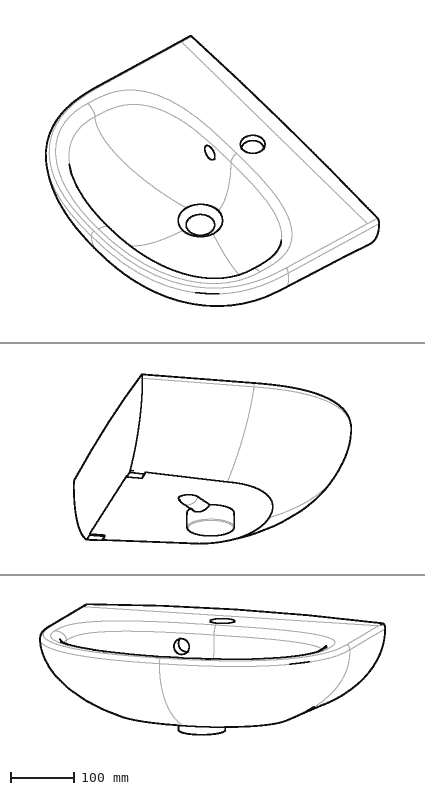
import cadquery as cq
import math


WIDTH = 499.5
DEPTH = 380.0
FRONT_START = 180
FLOOR_FRONT_START = 160
FRONT_NARROWING = 1.2
FRONT_EXPONENT = 2.4
FLOOR_EXPONENT = 2.1
RIM_HEIGHT = 8.0
RIM_INSET = 5
RIM_SECTIONS = 4
BODY_BOTTOM = -131.0
FOOT_BOTTOM = -133.0
BODY_CURVE_HEIGHT = 160.5
FRONT_CURVE_DEPTH = 334.5
BODY_SECTIONS = 6

FOOT_OUTER = 160
FOOT_WIDTH = 25
FOOT_LENGTH = 25

SPLASH_HEIGHT = 7.0
SPLASH_DEPTH = 20
SPLASH_SINK = 2.0

BOWL_Y = -218.0
LIP_HALF_WIDTH = 228.0
LIP_BACK = 124.0
LIP_FRONT = 150
LIP_INSET = 20
LIP_INSET_BACK = 11.5
LIP_INSET_FRONT = 23.0
LIP_DROP = 14.0
LIP_SECTIONS = 5
LIP_BACK_EXPONENT = 2.9
LIP_FRONT_EXPONENT = 2.2
BOWL_SECTIONS = 7

DRAIN_Y = -165.5
DRAIN_DIAMETER = 70
DRAIN_FLOOR_DIAMETER = 45
BOWL_FLOOR = -110
BOWL_FLOOR_DIAMETER = 60
DRAIN_FLOOR = -120
DRAIN_CLEARANCE = 5
SPOUT_DIAMETER = 74.5
SPOUT_BOTTOM = -156.5
SPOUT_ROUND = 1.5

TAP_Y = -62.5
TAP_DIAMETER = 35
TAP_MOUTH_DIAMETER = 39.0
TAP_DEPTH = 10

OVERFLOW_X = -53.0
OVERFLOW_Z = -36.0
OVERFLOW_DIAMETER = 25
OVERFLOW_END_Y = -85
DUCT_X = -57.0
DUCT_Y = -117.5
DUCT_Z = -124.0
DUCT_RADIUS = 17.5

CIRCLE_EXPONENT = 2
CURVE_STEPS = 16


def quarter_oval(half_width, reach, exponent, center_y, z, side):
    """Quarter of a superellipse from x = 0 to +x; side is 1 for the wall half and -1 for the front half."""
    points = []
    for step in range(CURVE_STEPS + 1):
        angle = math.pi / 2 * step / CURVE_STEPS
        across = math.sin(angle)
        along = math.cos(angle)
        radius = (across ** exponent + along ** exponent) ** (-1 / exponent)
        points.append(cq.Vector(half_width * across * radius, center_y + side * reach * along * radius, z))
    return cq.Edge.makeSpline(points, tangents=[cq.Vector(1, 0, 0), cq.Vector(0, -side, 0)])


def body_outline(back_half_width, front_half_width, depth, front_start, exponent, z):
    """D-shaped outline with a straight back on the wall and straight sides that narrow forwards."""
    right_front = quarter_oval(front_half_width, depth - front_start, exponent, -front_start, z, -1)
    left_front = right_front.mirror("YZ")
    right_back = cq.Vector(back_half_width, 0, z)
    left_back = cq.Vector(-back_half_width, 0, z)
    return cq.Wire.assembleEdges([
        right_front,
        cq.Edge.makeLine(right_front.endPoint(), right_back),
        cq.Edge.makeLine(right_back, left_back),
        cq.Edge.makeLine(left_back, left_front.endPoint()),
        left_front,
    ])


def rim_outline(inset, z):
    """Outline of the rim, drawn in by inset from the full size of the basin."""
    half_width = WIDTH / 2 - inset
    return body_outline(half_width, half_width, DEPTH - inset, FRONT_START, FRONT_EXPONENT, z)


def oval(half_width, back, front, center_y, back_exponent, front_exponent, z):
    """Closed oval with different back and front halves."""
    right_back = quarter_oval(half_width, back, back_exponent, center_y, z, 1)
    right_front = quarter_oval(half_width, front, front_exponent, center_y, z, -1)
    return cq.Wire.assembleEdges([
        right_back,
        right_front,
        right_front.mirror("YZ"),
        right_back.mirror("YZ"),
    ])


def blend(start, end, share):
    """Value part of the way from start (share 0) to end (share 1)."""
    return start + (end - start) * share


def make_body():
    """Rounded rim on top of a body whose sides and front curve inwards as ellipses."""
    rim_outlines = []
    for step in range(RIM_SECTIONS + 1):
        angle = math.pi / 2 * step / RIM_SECTIONS
        inset = RIM_INSET * (1 - math.cos(angle))
        z = RIM_HEIGHT * (math.sin(angle) - 1)
        rim_outlines.append(rim_outline(inset, z))
    rim = cq.Workplane(cq.Solid.makeLoft(rim_outlines))

    curve_height = -RIM_HEIGHT - FOOT_BOTTOM
    end_angle = math.asin(curve_height / BODY_CURVE_HEIGHT)
    outlines = []
    for step in range(BODY_SECTIONS + 1):
        angle = end_angle * step / BODY_SECTIONS
        inset = 1 - math.cos(angle)
        z = -RIM_HEIGHT - BODY_CURVE_HEIGHT * math.sin(angle)
        share = step / BODY_SECTIONS
        outlines.append(body_outline(
            WIDTH / 2 * (1 - inset),
            WIDTH / 2 * (1 - FRONT_NARROWING * inset),
            DEPTH - FRONT_CURVE_DEPTH * inset,
            blend(FRONT_START, FLOOR_FRONT_START, share),
            blend(FRONT_EXPONENT, FLOOR_EXPONENT, share),
            z,
        ))
    return rim.union(cq.Workplane(cq.Solid.makeLoft(outlines)))


def trim_underside(body):
    """Raise the underside everywhere except at the two feet."""
    foot_height = BODY_BOTTOM - FOOT_BOTTOM
    trim = cq.Workplane().box(WIDTH, 2 * DEPTH, 2 * foot_height).translate((0, 0, FOOT_BOTTOM))
    for side in (-1, 1):
        foot_x = side * (FOOT_OUTER - FOOT_WIDTH / 2)
        foot = cq.Workplane().box(FOOT_WIDTH, 2 * FOOT_LENGTH, 4 * foot_height)
        trim = trim.cut(foot.translate((foot_x, 0, FOOT_BOTTOM)))
    return body.cut(trim)


def make_splash_edge():
    """Wedge along the wall: an arch at the wall fading to a straight line on the deck."""
    half = WIDTH / 2 - RIM_INSET
    wall_end = (
        cq.Workplane("XZ")
        .moveTo(-half, -SPLASH_SINK)
        .lineTo(half, -SPLASH_SINK)
        .lineTo(half, 0)
        .threePointArc((0, SPLASH_HEIGHT), (-half, 0))
        .close()
    )
    deck_end = (
        cq.Workplane("XZ", origin=(0, -SPLASH_DEPTH, 0))
        .moveTo(-half, -SPLASH_SINK)
        .lineTo(half, -SPLASH_SINK)
        .lineTo(half, 0)
        .lineTo(-half, 0)
        .close()
    )
    return cq.Workplane(cq.Solid.makeLoft([wall_end.wire().val(), deck_end.wire().val()], True))


def make_lip():
    """Space above the rounded lip of the bowl."""
    outlines = []
    for step in range(LIP_SECTIONS + 1):
        angle = math.pi / 2 * step / LIP_SECTIONS
        share = math.sin(angle)
        outlines.append(oval(
            LIP_HALF_WIDTH - LIP_INSET * share,
            LIP_BACK - LIP_INSET_BACK * share,
            LIP_FRONT - LIP_INSET_FRONT * share,
            BOWL_Y,
            LIP_BACK_EXPONENT,
            LIP_FRONT_EXPONENT,
            -LIP_DROP * (1 - math.cos(angle)),
        ))
    return cq.Workplane(cq.Solid.makeLoft(outlines))


def make_bowl():
    """Space inside the bowl, from the lip down to a small round floor around the drain axis."""
    radius = BOWL_FLOOR_DIAMETER / 2
    outlines = []
    for step in range(BOWL_SECTIONS + 1):
        angle = math.pi / 2 * step / BOWL_SECTIONS
        share = 1 - math.cos(angle)
        outlines.append(oval(
            blend(LIP_HALF_WIDTH - LIP_INSET, radius, share),
            blend(LIP_BACK - LIP_INSET_BACK, radius, share),
            blend(LIP_FRONT - LIP_INSET_FRONT, radius, share),
            blend(BOWL_Y, DRAIN_Y, share),
            blend(LIP_BACK_EXPONENT, CIRCLE_EXPONENT, share),
            blend(LIP_FRONT_EXPONENT, CIRCLE_EXPONENT, share),
            blend(-LIP_DROP, BOWL_FLOOR, math.sin(angle)),
        ))
    return cq.Workplane(cq.Solid.makeLoft(outlines))


def make_cone(y, top, bottom, top_diameter, bottom_diameter):
    """Upright tapered plug on the plane of symmetry."""
    return cq.Workplane(cq.Solid.makeCone(
        bottom_diameter / 2, top_diameter / 2, top - bottom, cq.Vector(0, y, bottom), cq.Vector(0, 0, 1)
    ))


def make_drain():
    """Tapered drain mouth, with a short straight start that clears the curved bowl around it."""
    taper = make_cone(DRAIN_Y, BOWL_FLOOR, DRAIN_FLOOR, DRAIN_DIAMETER, DRAIN_FLOOR_DIAMETER)
    start = cq.Workplane("XY", origin=(0, DRAIN_Y, BOWL_FLOOR)).circle(DRAIN_DIAMETER / 2)
    return taper.union(start.extrude(DRAIN_CLEARANCE))


def make_overflow():
    """Round hole going into the back wall of the bowl."""
    return (
        cq.Workplane("XZ", origin=(OVERFLOW_X, OVERFLOW_END_Y, OVERFLOW_Z))
        .circle(OVERFLOW_DIAMETER / 2)
        .extrude(OVERFLOW_END_Y - BOWL_Y)
    )


def make_spout():
    """Drain spout below the body."""
    spout = cq.Workplane("XY", origin=(0, DRAIN_Y, SPOUT_BOTTOM)).circle(SPOUT_DIAMETER / 2)
    spout = spout.extrude(DRAIN_FLOOR - SPOUT_BOTTOM)
    return spout.faces("<Z").edges().fillet(SPOUT_ROUND)


def make_duct():
    """Round-ended duct under the body, running from the overflow to the drain spout."""
    run = cq.Vector(-DUCT_X, DRAIN_Y - DUCT_Y, 0)
    start = cq.Vector(DUCT_X, DUCT_Y, DUCT_Z)
    pipe = cq.Workplane(cq.Solid.makeCylinder(DUCT_RADIUS, run.Length, start, run))
    return pipe.union(cq.Workplane("XY", origin=start.toTuple()).sphere(DUCT_RADIUS))


result = (
    trim_underside(make_body())
    .union(make_splash_edge())
    .union(make_spout())
    .union(make_duct())
    .cut(make_lip())
    .cut(make_bowl())
    .cut(make_drain())
    .cut(make_cone(TAP_Y, 0, -TAP_DEPTH, TAP_MOUTH_DIAMETER, TAP_DIAMETER))
    .cut(make_overflow())
)